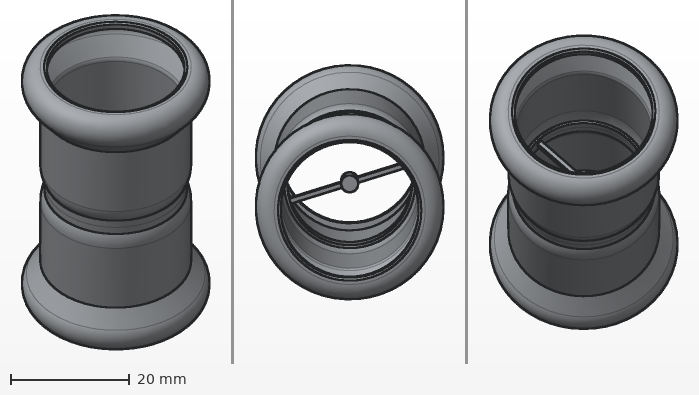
import cadquery as cq
import math

length = 50.0
half_length = length / 2
outer_radius = 15.8
wall = 1.2

barrel_radius = 12.7
socket_radius = barrel_radius - wall
bead_radius = outer_radius - barrel_radius
groove_radius = bead_radius - wall
bead_z = half_length - bead_radius
flare_angle = math.radians(41.4)
flare_end_z = 16.85

mouth_radius = 11.6
mouth_chamfer_width = 0.45
mouth_chamfer_height = 0.25

waist_radius = 12.0
waist_half_height = 1.45
waist_curve_top = 4.0
stop_outer_radius = 11.0
stop_bore_radius = 10.5

bar_width = 0.9
bar_height = bar_width
hub_radius = 1.45
hub_height = 2 * waist_half_height


def bead_point(radius, angle):
    """Point on a bead circle, with the angle measured up from horizontal."""
    return (barrel_radius + radius * math.cos(angle), bead_z + radius * math.sin(angle))


def tangent_at_top(top, bottom):
    """Midpoint of an arc that leaves the top point vertically and ends at the bottom point."""
    inset = top[0] - bottom[0]
    drop = top[1] - bottom[1]
    radius = (inset**2 + drop**2) / (2 * inset)
    half_sweep = math.asin(drop / radius) / 2
    return (top[0] - radius * (1 - math.cos(half_sweep)), top[1] - radius * math.sin(half_sweep))


def flare_inner_point(angle):
    """Point one wall inward of the outer flare corner, at an angle measured up from horizontal."""
    return (barrel_radius - wall * math.cos(angle), flare_end_z + wall * math.sin(angle))


def upper_half():
    """Upper half of the fitting, revolved about the Z axis."""
    bead_mid_angle = (math.pi / 2 - flare_angle) / 2
    flare_start = bead_point(bead_radius, -flare_angle)
    flare_normal_angle = math.atan2(flare_start[0] - barrel_radius, flare_start[1] - flare_end_z)
    outer_curve_top = (barrel_radius, waist_curve_top)
    outer_curve_end = (waist_radius, waist_half_height)
    inner_curve_top = (socket_radius, waist_curve_top)
    inner_curve_end = (stop_outer_radius, waist_half_height)
    profile = (
        cq.Workplane("XZ")
        .moveTo(stop_bore_radius, 0)
        .lineTo(waist_radius, 0)
        .lineTo(*outer_curve_end)
        .threePointArc(tangent_at_top(outer_curve_top, outer_curve_end), outer_curve_top)
        .lineTo(barrel_radius, flare_end_z)
        .lineTo(*flare_start)
        .threePointArc(bead_point(bead_radius, bead_mid_angle), bead_point(bead_radius, math.pi / 2))
        .lineTo(mouth_radius + mouth_chamfer_width, half_length)
        .lineTo(mouth_radius, half_length - mouth_chamfer_height)
        .lineTo(mouth_radius, half_length - wall)
        .lineTo(*bead_point(groove_radius, math.pi / 2))
        .threePointArc(bead_point(groove_radius, bead_mid_angle), bead_point(groove_radius, -flare_angle))
        .lineTo(*flare_inner_point(flare_normal_angle))
        .threePointArc(flare_inner_point(flare_normal_angle / 2), flare_inner_point(0))
        .lineTo(*inner_curve_top)
        .threePointArc(tangent_at_top(inner_curve_top, inner_curve_end), inner_curve_end)
        .lineTo(stop_bore_radius, waist_half_height)
        .close()
    )
    return profile.revolve(360, (0, 0, 0), (0, 1, 0))


def crossbar():
    """Flat bar along X across the tube stop, with a round hub on the axis."""
    bar_length = stop_bore_radius + stop_outer_radius
    bar = cq.Workplane("XY").box(bar_length, bar_width, bar_height)
    hub = cq.Workplane("XY").cylinder(hub_height, hub_radius)
    return bar.union(hub)


half = upper_half()
result = half.union(half.mirror("XY")).union(crossbar()).clean()